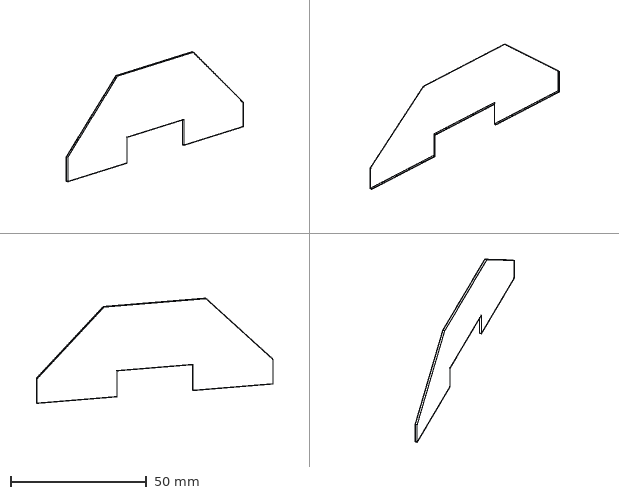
import cadquery as cq

thickness = 0.8
length = 90.0
height = 35.0

corner_cut = 25.5

notch_width = 29.0
notch_height = 10.0


def make_plate():
    """Rectangular plate centred on X and Y, standing on Z = 0."""
    return cq.Workplane("XY").box(thickness, length, height, centered=(True, True, False))


def cut_upper_corners(plate):
    """Bevel the two top edges that run through the thickness."""
    return plate.faces(">Z").edges("|X").chamfer(corner_cut)


def cut_notch(plate):
    """Open the notch through the full thickness."""
    notch = cq.Workplane("XY").box(thickness, notch_width, notch_height, centered=(True, True, False))
    return plate.cut(notch)


result = cut_notch(cut_upper_corners(make_plate()))